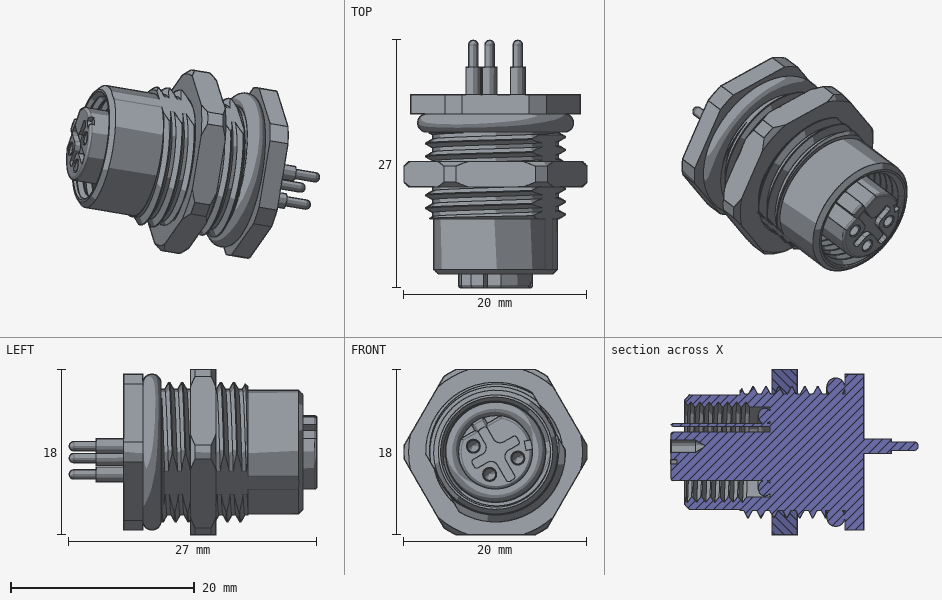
import cadquery as cq
import math


SHELL_FRONT = 1.5
THREAD_START = 7.53
NUT_FRONT = 11.02
NUT_THICKNESS = 2.78
FLAT_END = 16.69
THREAD_END = 16.9
FLANGE_FRONT = 18.98
FLANGE_REAR = 21.05
SLEEVE_END = 24.05
PIN_TIP = 27.0

SHELL_RADIUS = 6.75
SHELL_CHAMFER = 0.5
FLAT_DISTANCE = 6.7
ROOT_RADIUS = 6.85
CREST_RADIUS = 7.61
THREAD_PITCH = 1.41
CREST_WIDTH = 0.1
RIDGE_BASE_WIDTH = 0.97
THREAD_TURNS = 8
THREAD_LEAD_IN = 0.95
LEAD_IN_RADIUS = 7.15

FLANGE_ACROSS_FLATS = 17.0
FLANGE_ROUND_RADIUS = 9.25
SEAL_SECTION_RADIUS = 1.0
SEAL_OUTER_RADIUS = 8.5

SOCKET_FLOOR = 10.8
SOCKET_RADIUS = 5.48
SOCKET_MAJOR_RADIUS = 6.0
SOCKET_PITCH = 1.0
SOCKET_GROOVE_WIDTH = 0.86
SOCKET_THREAD_TURNS = 7
SOCKET_SEAL_SECTION_RADIUS = 0.73
SOCKET_SEAL_OUTER_RADIUS = 5.43
SOCKET_SEAL_CENTER = 10.25

INSERT_TURN = 30.0
INSERT_RADIUS = 4.02
INSERT_FILLET = 0.27
KEY_FLAT_DISTANCE = 3.15
KEY_WIDTH = 1.57
CROSS_WIDTH = 1.05
CROSS_DEPTH = 0.68
CROSS_SIDE_REACH = 2.8
CROSS_KEY_REACH = 3.0
CROSS_FAR_REACH = 3.55
CROSS_INNER_FILLET = 0.8
CROSS_TIP_FILLET = 0.3
NOTCH_ANGLE = 12.0
NOTCH_WIDTH = 1.03
NOTCH_INNER_DISTANCE = 3.3
NOTCH_DEPTH = 0.55

CONTACT_CIRCLE_RADIUS = 2.5
CONTACT_ANGLES = (135.0, 225.0, 315.0)
CONTACT_HOLE_RADIUS = 0.65
CONTACT_MOUTH_RADIUS = 0.75
CONTACT_HOLE_DEPTH = 2.7
DRILL_POINT_ANGLE = 60.0
SLEEVE_RADIUS = 0.8
PIN_RADIUS = 0.5

NUT_ACROSS_FLATS = 18.0
NUT_ROUND_RADIUS = 10.0
NUT_CHAMFER = 0.5

AXIS_ORIGIN = (0, 0, 0)
AXIS_END = (0, 1, 0)


def section(y):
    """Workplane across the axis at y, with local x along X and local y along Z."""
    return cq.Workplane("XZ", origin=(0, y, 0))


def turned(points):
    """Solid of revolution about the axis from (radius, y) points."""
    return cq.Workplane("XY").polyline(points).close().revolve(360, AXIS_ORIGIN, AXIS_END)


def rod(radius, start, end, center=(0, 0)):
    """Cylinder parallel to the axis between two stations."""
    return section(start).center(*center).circle(radius).extrude(start - end)


def ring(outer_radius, section_radius, y):
    """Round-section ring centred on the axis."""
    mean_radius = outer_radius - section_radius
    top_half = cq.Plane(origin=(0, y, mean_radius), xDir=(0, 0, -1), normal=(1, 0, 0))
    return cq.Workplane(top_half).circle(section_radius).revolve(360, (mean_radius, 0), (mean_radius, 1))


def hex_plate(across_flats, start, end):
    """Hexagonal plate with two flats facing +Z and -Z."""
    across_corners = across_flats / math.cos(math.radians(30))
    return section(start).polygon(6, across_corners).extrude(start - end)


def helical_sweep(profile, pitch, turns, start):
    """Sweep a (radius, axial offset) profile along a right-hand helix that begins on the +X side."""
    helix = cq.Wire.makeHelix(pitch, pitch * turns, profile[0][0])
    swept = cq.Workplane("XZ").polyline(profile).close().sweep(cq.Workplane(helix), isFrenet=True)
    return swept.rotate((0, 0, 0), (1, 0, 0), -90).translate((0, start, 0))


def panel_thread():
    """External thread ridge with a conical lead-in, ending just in front of the sealing ring."""
    root_overlap = 0.08
    flank_slope = (RIDGE_BASE_WIDTH - CREST_WIDTH) / 2 / (CREST_RADIUS - ROOT_RADIUS)
    half_base = RIDGE_BASE_WIDTH / 2 + root_overlap * flank_slope
    ridge = helical_sweep(
        [
            (ROOT_RADIUS - root_overlap, -half_base),
            (CREST_RADIUS, -CREST_WIDTH / 2),
            (CREST_RADIUS, CREST_WIDTH / 2),
            (ROOT_RADIUS - root_overlap, half_base),
        ],
        THREAD_PITCH,
        THREAD_TURNS,
        THREAD_START - THREAD_LEAD_IN,
    )
    limit_radius = CREST_RADIUS + 0.27
    envelope = turned(
        [
            (0, THREAD_START),
            (LEAD_IN_RADIUS, THREAD_START),
            (limit_radius, THREAD_START + limit_radius - LEAD_IN_RADIUS),
            (limit_radius, THREAD_END),
            (0, THREAD_END),
        ]
    )
    return ridge.intersect(envelope)


def barrel_blank():
    """Turned barrel behind the chamfered mating end, without thread, flats or bore."""
    return turned(
        [
            (0, SHELL_FRONT),
            (SHELL_RADIUS - SHELL_CHAMFER, SHELL_FRONT),
            (SHELL_RADIUS, SHELL_FRONT + SHELL_CHAMFER),
            (SHELL_RADIUS, THREAD_START),
            (ROOT_RADIUS, THREAD_START),
            (ROOT_RADIUS, FLANGE_FRONT),
            (0, FLANGE_FRONT),
        ]
    )


def cut_flats(blank):
    """Cut the two opposite flats, square to the insert's side arms."""
    cut_height = 2.7
    for angle in (INSERT_TURN, INSERT_TURN + 180):
        flat = (
            section(SHELL_FRONT)
            .center(FLAT_DISTANCE + cut_height / 2, 0)
            .rect(cut_height, 2 * CREST_RADIUS)
            .extrude(SHELL_FRONT - FLAT_END)
            .rotate((0, 0, 0), (0, 1, 0), -angle)
        )
        blank = blank.cut(flat)
    return blank


def threaded_barrel():
    """Barrel with the full panel thread, before the flats are cut."""
    return barrel_blank().union(panel_thread())


def shell():
    """Barrel with its flats, thread and threaded socket."""
    barrel = cut_flats(threaded_barrel())
    return barrel.cut(socket_bore()).cut(socket_groove())


def flange():
    """Rear hexagon with its corners turned round, and the sealing ring in front of it."""
    plate = hex_plate(FLANGE_ACROSS_FLATS, FLANGE_FRONT, FLANGE_REAR)
    plate = plate.intersect(rod(FLANGE_ROUND_RADIUS, FLANGE_FRONT, FLANGE_REAR))
    seal = ring(SEAL_OUTER_RADIUS, SEAL_SECTION_RADIUS, FLANGE_FRONT - SEAL_SECTION_RADIUS)
    return plate.union(seal)


def socket_bore():
    """Blind bore with a conical mouth."""
    mouth_depth = SOCKET_MAJOR_RADIUS - SOCKET_RADIUS
    return turned(
        [
            (0, SHELL_FRONT),
            (SOCKET_MAJOR_RADIUS, SHELL_FRONT),
            (SOCKET_RADIUS, SHELL_FRONT + mouth_depth),
            (SOCKET_RADIUS, SOCKET_FLOOR),
            (0, SOCKET_FLOOR),
        ]
    )


def socket_groove():
    """V-groove of the internal thread, reaching slightly into the bore."""
    bore_overlap = 0.05
    flank_slope = SOCKET_GROOVE_WIDTH / 2 / (SOCKET_MAJOR_RADIUS - SOCKET_RADIUS)
    half_width = SOCKET_GROOVE_WIDTH / 2 + bore_overlap * flank_slope
    return helical_sweep(
        [
            (SOCKET_RADIUS - bore_overlap, -half_width),
            (SOCKET_MAJOR_RADIUS, 0),
            (SOCKET_RADIUS - bore_overlap, half_width),
        ],
        SOCKET_PITCH,
        SOCKET_THREAD_TURNS,
        SHELL_FRONT,
    )


def insert_blank():
    """Round insert with a raised key between two flats; its key points along local +Z."""
    blank = rod(INSERT_RADIUS, 0, SOCKET_FLOOR)
    cut_height = INSERT_RADIUS
    for side in (-1, 1):
        beside_key = (
            section(0)
            .center(side * (KEY_WIDTH + INSERT_RADIUS) / 2, KEY_FLAT_DISTANCE + cut_height / 2)
            .rect(INSERT_RADIUS, cut_height)
            .extrude(-SOCKET_FLOOR)
        )
        blank = blank.cut(beside_key)
    return blank.faces("<Y").edges().fillet(INSERT_FILLET)


def cross_recess():
    """Four-armed recess in the insert face."""
    side_arms = section(0).rect(2 * CROSS_SIDE_REACH, CROSS_WIDTH).extrude(-CROSS_DEPTH)
    side_arms = side_arms.edges("|Y").fillet(CROSS_TIP_FILLET)
    key_arms = (
        section(0)
        .center(0, (CROSS_KEY_REACH - CROSS_FAR_REACH) / 2)
        .rect(CROSS_WIDTH, CROSS_KEY_REACH + CROSS_FAR_REACH)
        .extrude(-CROSS_DEPTH)
        .edges("|Y")
        .fillet(CROSS_TIP_FILLET)
    )
    cross = side_arms.union(key_arms)
    inner = cq.selectors.BoxSelector(
        (-CROSS_WIDTH, -0.27, -CROSS_WIDTH), (CROSS_WIDTH, CROSS_DEPTH + 0.27, CROSS_WIDTH)
    )
    return cross.edges("|Y").edges(inner).fillet(CROSS_INNER_FILLET)


def contact_centers():
    """(x, z) of each contact in the insert's own frame."""
    return [
        (
            CONTACT_CIRCLE_RADIUS * math.cos(math.radians(angle)),
            CONTACT_CIRCLE_RADIUS * math.sin(math.radians(angle)),
        )
        for angle in CONTACT_ANGLES
    ]


def contact_hole(center):
    """Blind contact hole with a small conical mouth and a drill point."""
    mouth_depth = CONTACT_MOUTH_RADIUS - CONTACT_HOLE_RADIUS
    point_depth = CONTACT_HOLE_RADIUS / math.tan(math.radians(DRILL_POINT_ANGLE / 2))
    hole = turned(
        [
            (0, 0),
            (CONTACT_MOUTH_RADIUS, 0),
            (CONTACT_HOLE_RADIUS, mouth_depth),
            (CONTACT_HOLE_RADIUS, CONTACT_HOLE_DEPTH),
            (0, CONTACT_HOLE_DEPTH + point_depth),
        ]
    )
    return hole.translate((center[0], 0, center[1]))


def solder_pin(center):
    """Sleeve and round-ended pin behind the flange."""
    sleeve = rod(SLEEVE_RADIUS, FLANGE_REAR, SLEEVE_END, center)
    dome_center = PIN_TIP - PIN_RADIUS
    pin = rod(PIN_RADIUS, SLEEVE_END, dome_center, center)
    dome = cq.Workplane("XY").sphere(PIN_RADIUS).translate((center[0], dome_center, center[1]))
    return sleeve.union(pin).union(dome)


def edge_notch():
    """Small notch in the rim of the insert face, in the part's own frame."""
    notch_length = 1.35
    return (
        section(0)
        .center(NOTCH_INNER_DISTANCE + notch_length / 2, 0)
        .rect(notch_length, NOTCH_WIDTH)
        .extrude(-NOTCH_DEPTH)
        .rotate((0, 0, 0), (0, 1, 0), -NOTCH_ANGLE)
    )


def contact_insert():
    """Insert with its recess, contact holes and notch, turned to its place."""
    insert = insert_blank().cut(cross_recess())
    for center in contact_centers():
        insert = insert.cut(contact_hole(center))
    insert = insert.rotate((0, 0, 0), (0, 1, 0), -INSERT_TURN)
    return insert.cut(edge_notch())


def make_connector():
    """Connector body: shell, flange, insert, rings and pins as one solid."""
    socket_seal = ring(
        SOCKET_SEAL_OUTER_RADIUS,
        SOCKET_SEAL_SECTION_RADIUS,
        SOCKET_SEAL_CENTER,
    )
    connector = shell().union(flange()).union(contact_insert()).union(socket_seal)
    for center in contact_centers():
        connector = connector.union(solder_pin(center).rotate((0, 0, 0), (0, 1, 0), -INSERT_TURN))
    return connector


def make_nut():
    """Hexagon nut with chamfered corners, tapped to fit the full panel thread."""
    nut_rear = NUT_FRONT + NUT_THICKNESS
    face_radius = NUT_ROUND_RADIUS - NUT_CHAMFER
    envelope = turned(
        [
            (0, NUT_FRONT),
            (face_radius, NUT_FRONT),
            (NUT_ROUND_RADIUS, NUT_FRONT + NUT_CHAMFER),
            (NUT_ROUND_RADIUS, nut_rear - NUT_CHAMFER),
            (face_radius, nut_rear),
            (0, nut_rear),
        ]
    )
    blank = hex_plate(NUT_ACROSS_FLATS, NUT_FRONT, nut_rear).intersect(envelope)
    return blank.cut(threaded_barrel())


connector = make_connector()
nut = make_nut()
result = cq.Compound.makeCompound([connector.val(), nut.val()])